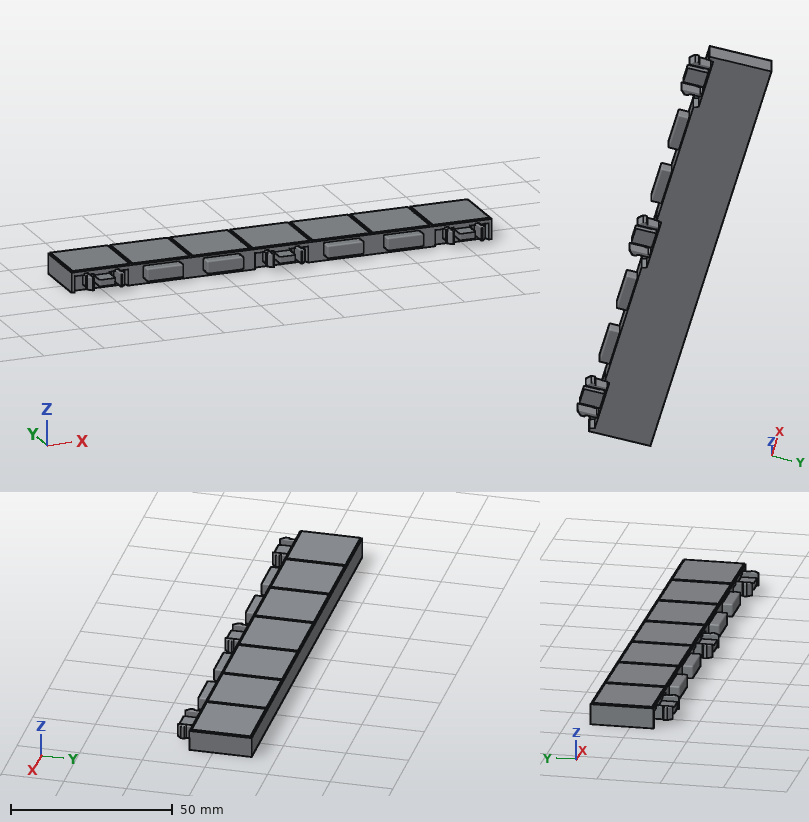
import cadquery as cq

module_count = 7
row_length = 139.9
row_depth = 19.9
height = 7.0
module_pitch = row_length / module_count
front_y = -row_depth / 2

pad_height = 0.4
pad_inset = 0.49
base_height = height - pad_height

clip_spacing = 3

recess_height = 5.3
recess_mouth_width = 17.8
recess_floor_width = 16.6
recess_depth = 1.5

projection_bottom = 1.7
projection_top = 5.9

block_width = 12.2
block_length = 3.4
block_round = 0.49

clip_length = 5.0
tongue_width = 5.3
tongue_bottom = 2.8
tongue_top = 4.9
tongue_round = 0.4

arm_inner = 4.5
arm_outer = 5.7
barb_outer = 6.3
arm_tip_outer = 4.9
barb_start = 2.1
barb_end = 3.6
barb_back_slope = 0.4
arm_root_flare = 0.5
arm_round = 0.21


def box(width, y_from, y_to, z_from, z_to, x=0.0):
    """Box centred on x, spanning the given Y and Z ranges."""
    return cq.Workplane("XY").box(
        width, y_to - y_from, z_to - z_from, centered=(True, False, False)
    ).translate((x, y_from, z_from))


def top_pad(x):
    """Raised pad on top of one module."""
    width = module_pitch - 2 * pad_inset
    pad_front = front_y + pad_inset
    return box(width, pad_front, -pad_front, base_height, height, x)


def recess(x):
    """Socket recess whose side walls converge towards its floor."""
    half_mouth = recess_mouth_width / 2
    half_floor = recess_floor_width / 2
    outline = [
        (x - half_mouth, front_y),
        (x + half_mouth, front_y),
        (x + half_floor, front_y + recess_depth),
        (x - half_floor, front_y + recess_depth),
    ]
    return cq.Workplane("XY").polyline(outline).close().extrude(recess_height)


def block(x):
    """Plain block with rounded outer edges on the front face."""
    solid = box(block_width, front_y - block_length, front_y, projection_bottom, projection_top, x)
    return solid.edges("not(>Y)").fillet(block_round)


def tongue(x):
    """Centre tongue whose root fills the recess up to its ceiling."""
    solid = box(tongue_width, front_y - clip_length, front_y + recess_depth, tongue_bottom, tongue_top, x)
    root = box(tongue_width, front_y, front_y + recess_depth, tongue_bottom, recess_height, x)
    return solid.edges("|Z and <Y").fillet(tongue_round).union(root)


def clip_arm(x, side):
    """Barbed arm with a flared root; side is -1 for the left arm and +1 for the right one."""
    profile = [
        (arm_inner - arm_root_flare, -recess_depth),
        (arm_outer, -recess_depth),
        (arm_outer, barb_start),
        (barb_outer, barb_start + barb_back_slope),
        (barb_outer, barb_end),
        (arm_tip_outer, clip_length),
        (arm_inner, clip_length),
        (arm_inner, arm_root_flare - recess_depth),
    ]
    outline = [(x + side * across, front_y - out) for across, out in profile]
    arm = cq.Workplane("XY").workplane(offset=projection_bottom).polyline(outline).close()
    arm = arm.extrude(projection_top - projection_bottom)
    return arm.faces("|Z").edges("not(>Y)").fillet(arm_round)


result = box(row_length, front_y, -front_y, 0, base_height)
for index in range(module_count):
    x = (index - (module_count - 1) / 2) * module_pitch
    result = result.union(top_pad(x))
    if index % clip_spacing == 0:
        result = result.cut(recess(x))
        result = result.union(tongue(x))
        for side in (-1, 1):
            result = result.union(clip_arm(x, side))
    else:
        result = result.union(block(x))